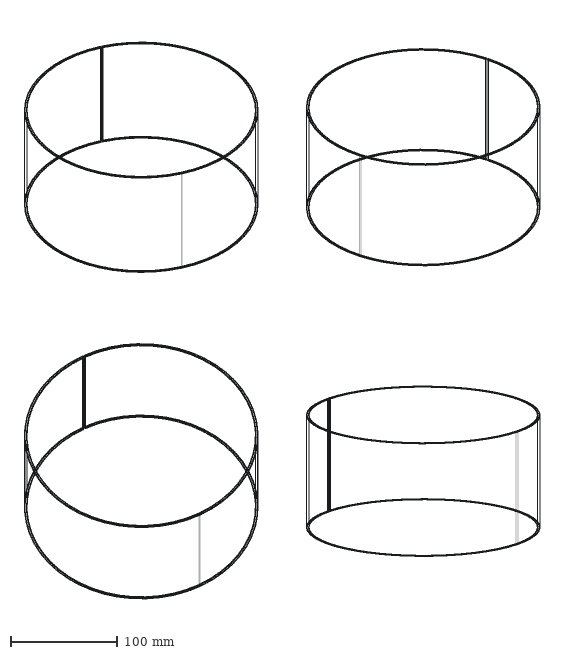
import cadquery as cq

outer_diameter = 220.0
height = 110.0
wall_thickness = 2.5
slit_width = 1.8
rim_chamfer = 0.5

outer_radius = outer_diameter / 2
inner_radius = outer_radius - wall_thickness

sleeve = cq.Workplane("XY").circle(outer_radius).circle(inner_radius).extrude(height)

sleeve = sleeve.faces("|Z").edges().chamfer(rim_chamfer)

slit_depth = 4 * wall_thickness
slit = (
    cq.Workplane("XY")
    .center(-outer_radius, slit_width / 2)
    .rect(slit_depth, slit_width)
    .extrude(height)
)

result = sleeve.cut(slit)